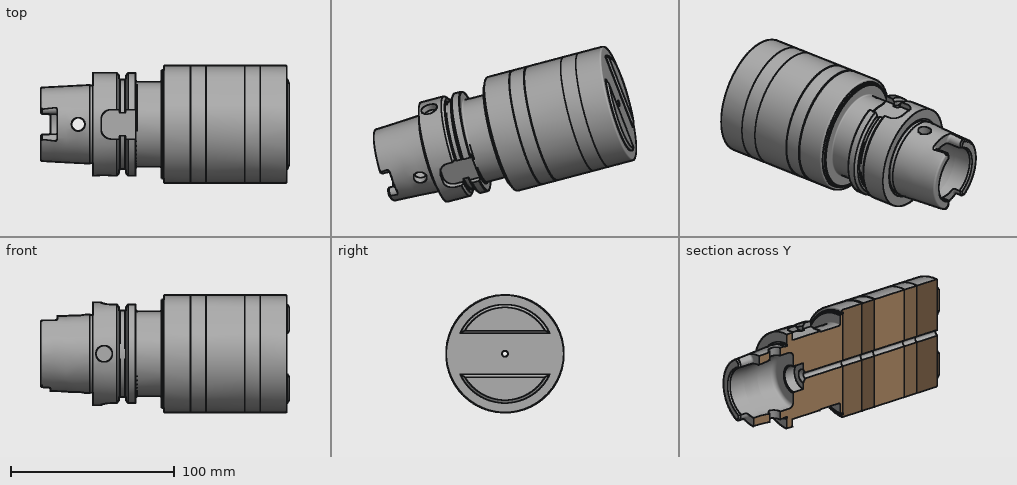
import cadquery as cq
import math


TAPER_LENGTH = 32.0
TAPER_MOUTH_RADIUS = 22.5
TAPER_BASE_RADIUS = 24.1
TAPER_END_X = -2.1
MOUTH_ROUND_RADIUS = 1.2
RELIEF_X = -1.1
RELIEF_RADIUS = 23.8
RELIEF_DEPTH = 0.5
RELIEF_OUTER_RADIUS = 25.1

FLANGE_RADIUS = 31.5
FLANGE_END_X = 26.2
FLANGE_END_CHAMFER = 0.4
GROOVE_CENTER_X = 18.0
GROOVE_MOUTH_WIDTH = 7.0
GROOVE_WALL_WIDTH = 4.0
GROOVE_FLOOR_RADIUS = 27.4
GROOVE_BEVEL_RADIUS = 29.7
GROOVE_CORNER_RADIUS = 0.6

NECK_RADIUS = 26.0
NECK_FILLET = 0.8
COLLAR_X = 41.8
COLLAR_RADIUS = 33.2
COLLAR_CHAMFER = 0.6
COLLAR_END_X = 44.2

BORE_RADIUS = 17.0
BORE_BEVEL_LENGTH = 1.4
BORE_BEVEL_DEPTH = 0.6
UNDERCUT_RADIUS = 18.5
UNDERCUT_START_X = -19.5
UNDERCUT_FULL_X = -8.0
BORE_FLOOR_X = 5.0
BORE_FLOOR_FILLET = 2.8
COOLANT_PORT_RADIUS = 8.5
COOLANT_PORT_CHAMFER = 0.5
COOLANT_PORT_DEPTH = 8.0
COOLANT_CONE_RADIUS = 4.4
COOLANT_CONE_ANGLE = 118.0
COOLANT_HOLE_RADIUS = 1.75

MOUTH_SLOT_HALF_WIDTH = 6.2
MOUTH_SLOT_FLARE_RADIUS = 3.4
MOUTH_SLOT_SHOULDER_Z = 20.6
MOUTH_SLOT_TOP_FLOOR_X = -21.7
MOUTH_SLOT_BOTTOM_FLOOR_X = -26.0
MOUTH_SLOT_FLOOR_FILLET = 1.3
MOUTH_SLOT_CHAMFER = 1.0

KEYWAY_X = 4.9
KEYWAY_WIDTH = 18.0
KEYWAY_CORNER_RADIUS = 6.3
KEYWAY_FLOOR_Z = 26.5

WRENCH_HOLE_X = -9.0
WRENCH_HOLE_DIAMETER = 8.0
CHIP_HOLE_X = 6.8
CHIP_HOLE_DIAMETER = 10.0
CHIP_HOLE_DEPTH = 4.6

HEAD_RADIUS = 36.0
FRONT_SLEEVE_X = 43.2
GROOVED_RING_X = 59.4
MAIN_SLEEVE_X = 69.2
PLAIN_RING_X = 92.5
END_SLEEVE_X = 102.2
HEAD_END_X = 118.3
HEAD_ROUND_RADIUS = 1.0
COLLAR_RECESS_RADIUS = 34.0
GROOVED_RING_CHAMFER = 0.35

LUG_RADIUS = 30.1
LUG_FLAT_Z = 12.4
LUG_HEIGHT = 1.6
LUG_BEVEL_HEIGHT = 1.3
LUG_BEVEL_INSET = 1.8


def revolve_about_x(outline):
    """Turn a closed outline drawn with X along the axis and Y as radius."""
    return outline.close().revolve(360, (0, 0, 0), (1, 0, 0))


def make_shank_blank():
    groove_mouth = GROOVE_MOUTH_WIDTH / 2
    groove_wall = GROOVE_WALL_WIDTH / 2
    groove_floor = groove_wall - GROOVE_CORNER_RADIUS
    corner_top = GROOVE_FLOOR_RADIUS + GROOVE_CORNER_RADIUS
    outline = (
        cq.Workplane("XY")
        .moveTo(-TAPER_LENGTH, 0)
        .lineTo(-TAPER_LENGTH, TAPER_MOUTH_RADIUS)
        .lineTo(TAPER_END_X, TAPER_BASE_RADIUS)
        .lineTo(RELIEF_X, RELIEF_RADIUS)
        .lineTo(RELIEF_DEPTH, RELIEF_RADIUS)
        .lineTo(0, RELIEF_OUTER_RADIUS)
        .lineTo(0, FLANGE_RADIUS)
        .lineTo(GROOVE_CENTER_X - groove_mouth, FLANGE_RADIUS)
        .lineTo(GROOVE_CENTER_X - groove_wall, GROOVE_BEVEL_RADIUS)
        .lineTo(GROOVE_CENTER_X - groove_wall, corner_top)
        .radiusArc((GROOVE_CENTER_X - groove_floor, GROOVE_FLOOR_RADIUS), -GROOVE_CORNER_RADIUS)
        .lineTo(GROOVE_CENTER_X + groove_floor, GROOVE_FLOOR_RADIUS)
        .radiusArc((GROOVE_CENTER_X + groove_wall, corner_top), -GROOVE_CORNER_RADIUS)
        .lineTo(GROOVE_CENTER_X + groove_wall, GROOVE_BEVEL_RADIUS)
        .lineTo(GROOVE_CENTER_X + groove_mouth, FLANGE_RADIUS)
        .lineTo(FLANGE_END_X - FLANGE_END_CHAMFER, FLANGE_RADIUS)
        .lineTo(FLANGE_END_X, FLANGE_RADIUS - FLANGE_END_CHAMFER)
        .lineTo(FLANGE_END_X, NECK_RADIUS + NECK_FILLET)
        .radiusArc((FLANGE_END_X + NECK_FILLET, NECK_RADIUS), -NECK_FILLET)
        .lineTo(COLLAR_X - NECK_FILLET, NECK_RADIUS)
        .radiusArc((COLLAR_X, NECK_RADIUS + NECK_FILLET), -NECK_FILLET)
        .lineTo(COLLAR_X, COLLAR_RADIUS - COLLAR_CHAMFER)
        .lineTo(COLLAR_X + COLLAR_CHAMFER, COLLAR_RADIUS)
        .lineTo(COLLAR_END_X, COLLAR_RADIUS)
        .lineTo(COLLAR_END_X, 0)
    )
    return revolve_about_x(outline).faces("<X").edges().fillet(MOUTH_ROUND_RADIUS)


def make_bore_cutter():
    cone_half_angle = math.radians(COOLANT_CONE_ANGLE / 2)
    cone_length = (COOLANT_CONE_RADIUS - COOLANT_HOLE_RADIUS) / math.tan(cone_half_angle)
    port_end_x = BORE_FLOOR_X + COOLANT_PORT_DEPTH
    outline = (
        cq.Workplane("XY")
        .moveTo(-TAPER_LENGTH, 0)
        .lineTo(-TAPER_LENGTH, BORE_RADIUS + BORE_BEVEL_DEPTH)
        .lineTo(-TAPER_LENGTH + BORE_BEVEL_LENGTH, BORE_RADIUS)
        .lineTo(UNDERCUT_START_X, BORE_RADIUS)
        .lineTo(UNDERCUT_FULL_X, UNDERCUT_RADIUS)
        .lineTo(BORE_FLOOR_X - BORE_FLOOR_FILLET, UNDERCUT_RADIUS)
        .radiusArc((BORE_FLOOR_X, UNDERCUT_RADIUS - BORE_FLOOR_FILLET), BORE_FLOOR_FILLET)
        .lineTo(BORE_FLOOR_X, COOLANT_PORT_RADIUS + COOLANT_PORT_CHAMFER)
        .lineTo(BORE_FLOOR_X + COOLANT_PORT_CHAMFER, COOLANT_PORT_RADIUS)
        .lineTo(port_end_x, COOLANT_PORT_RADIUS)
        .lineTo(port_end_x, COOLANT_CONE_RADIUS)
        .lineTo(port_end_x + cone_length, COOLANT_HOLE_RADIUS)
        .lineTo(COLLAR_END_X, COOLANT_HOLE_RADIUS)
        .lineTo(COLLAR_END_X, 0)
    )
    return revolve_about_x(outline)


def draw_mouth_slot(plane_x, growth=0.0):
    """Slot outline across X, open toward +Z; its walls flare outward in a round onto flat shoulders."""
    half_width = MOUTH_SLOT_HALF_WIDTH + growth
    shoulder_z = MOUTH_SLOT_SHOULDER_Z - growth
    flare_radius = MOUTH_SLOT_FLARE_RADIUS - growth
    flare_start_z = shoulder_z - flare_radius
    return (
        cq.Workplane("YZ", origin=(plane_x, 0, 0))
        .moveTo(-half_width, 0)
        .lineTo(half_width, 0)
        .lineTo(half_width, flare_start_z)
        .radiusArc((half_width + flare_radius, shoulder_z), flare_radius)
        .lineTo(FLANGE_RADIUS, shoulder_z)
        .lineTo(FLANGE_RADIUS, FLANGE_RADIUS)
        .lineTo(-FLANGE_RADIUS, FLANGE_RADIUS)
        .lineTo(-FLANGE_RADIUS, shoulder_z)
        .lineTo(-half_width - flare_radius, shoulder_z)
        .radiusArc((-half_width, flare_start_z), flare_radius)
        .close()
    )


def make_mouth_slot_cutter(floor_x):
    """Slot of the given floor position, with the edges at the taper mouth chamfered."""
    chamfer_end_x = MOUTH_SLOT_CHAMFER - TAPER_LENGTH
    slot = (
        draw_mouth_slot(-TAPER_LENGTH)
        .extrude(floor_x + TAPER_LENGTH)
        .faces(">X")
        .edges()
        .fillet(MOUTH_SLOT_FLOOR_FILLET)
    )
    mouth_wire = draw_mouth_slot(-TAPER_LENGTH, MOUTH_SLOT_CHAMFER).val()
    inner_wire = draw_mouth_slot(chamfer_end_x).val()
    return slot.union(cq.Workplane(cq.Solid.makeLoft([mouth_wire, inner_wire], True)))


def make_keyway_cutter():
    """Keyway on the +Z side, rounded at its closed end and open toward the neck."""
    return (
        cq.Workplane("XY", origin=(0, 0, KEYWAY_FLOOR_Z))
        .center((KEYWAY_X + FLANGE_END_X) / 2, 0)
        .rect(FLANGE_END_X - KEYWAY_X, KEYWAY_WIDTH)
        .extrude(FLANGE_RADIUS - KEYWAY_FLOOR_Z)
        .edges("|Z and <X")
        .fillet(KEYWAY_CORNER_RADIUS)
    )


def turn_half(shape):
    return shape.rotate((0, 0, 0), (1, 0, 0), 180)


def make_shank():
    wrench_hole = (
        cq.Workplane("XY")
        .center(WRENCH_HOLE_X, 0)
        .circle(WRENCH_HOLE_DIAMETER / 2)
        .extrude(FLANGE_RADIUS, both=True)
    )
    chip_hole = (
        cq.Workplane("XZ", origin=(0, CHIP_HOLE_DEPTH - FLANGE_RADIUS, 0))
        .center(CHIP_HOLE_X, 0)
        .circle(CHIP_HOLE_DIAMETER / 2)
        .extrude(FLANGE_RADIUS)
    )
    keyway = make_keyway_cutter()
    return (
        make_shank_blank()
        .cut(make_bore_cutter())
        .cut(make_mouth_slot_cutter(MOUTH_SLOT_TOP_FLOOR_X))
        .cut(turn_half(make_mouth_slot_cutter(MOUTH_SLOT_BOTTOM_FLOOR_X)))
        .cut(keyway)
        .cut(turn_half(keyway))
        .cut(wrench_hole)
        .cut(chip_hole)
    )


def make_head_section(start_x, end_x):
    """Plain disc of the head with the coolant hole through it."""
    return (
        cq.Workplane("YZ", origin=(start_x, 0, 0))
        .circle(HEAD_RADIUS)
        .circle(COOLANT_HOLE_RADIUS)
        .extrude(end_x - start_x)
    )


def round_rim(section, face_selector):
    outer_rim = cq.selectors.RadiusNthSelector(-1)
    return section.faces(face_selector).edges(outer_rim).fillet(HEAD_ROUND_RADIUS)


def make_front_sleeve():
    """First section, with a recess that takes the collar and leaves a narrow gap around it."""
    collar_recess = (
        cq.Workplane("YZ", origin=(FRONT_SLEEVE_X, 0, 0))
        .circle(COLLAR_RECESS_RADIUS)
        .extrude(COLLAR_END_X - FRONT_SLEEVE_X)
    )
    return round_rim(make_head_section(FRONT_SLEEVE_X, GROOVED_RING_X), "<X").cut(collar_recess)


def make_grooved_ring():
    """Ring whose chamfered rims leave a fine groove against each neighbour."""
    ring = make_head_section(GROOVED_RING_X, MAIN_SLEEVE_X)
    return ring.edges(cq.selectors.RadiusNthSelector(-1)).chamfer(GROOVED_RING_CHAMFER)


def make_lug():
    """Circular segment on the +Z half of the end face, bevelled all round."""
    half_chord = math.sqrt(LUG_RADIUS**2 - LUG_FLAT_Z**2)
    return (
        cq.Workplane("YZ", origin=(HEAD_END_X, 0, 0))
        .moveTo(-half_chord, LUG_FLAT_Z)
        .threePointArc((0, LUG_RADIUS), (half_chord, LUG_FLAT_Z))
        .close()
        .extrude(LUG_HEIGHT)
        .faces(">X")
        .chamfer(LUG_BEVEL_HEIGHT, LUG_BEVEL_INSET)
    )


shank = make_shank()
front_sleeve = make_front_sleeve()
grooved_ring = make_grooved_ring()
main_sleeve = make_head_section(MAIN_SLEEVE_X, PLAIN_RING_X)
plain_ring = make_head_section(PLAIN_RING_X, END_SLEEVE_X)
end_sleeve = round_rim(make_head_section(END_SLEEVE_X, HEAD_END_X), ">X")

upper_lug = make_lug()
lugs = [upper_lug.val(), turn_half(upper_lug).val()]

result = cq.Compound.makeCompound(
    [
        shank.val(),
        front_sleeve.val(),
        grooved_ring.val(),
        main_sleeve.val(),
        plain_ring.val(),
        end_sleeve.val(),
        *lugs,
    ]
)